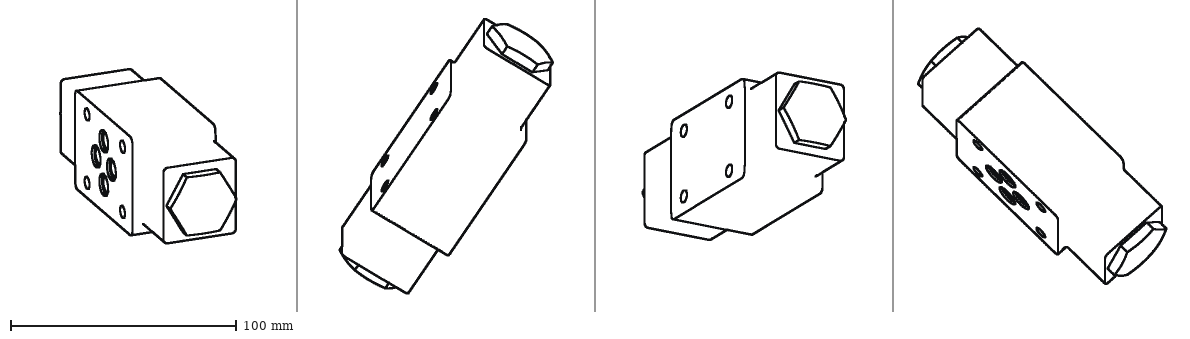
import cadquery as cq
import math

overall_length = 128.4
block_length = 65.2
block_depth = 40.0
block_height = 47.0
block_corner_radius = 2.6
block_front = -block_depth / 2
block_back = block_depth / 2
block_end = block_length / 2

housing_end = 58.7
housing_depth = 34.9
housing_height = 36.1
housing_edge_radius = 2.0
housing_back_step = 1.2
housing_centre_y = block_back - housing_back_step - housing_depth / 2
flare_radius = 2.5

plug_end = overall_length / 2
plug_length = plug_end - housing_end
hex_across_flats = 27.7
hex_across_corners = hex_across_flats * 2 / math.sqrt(3)
plug_face_radius = 11.5
cone_angle = 15.0

mounting_hole_diameter = 5.5
left_hole_x = -19.0
left_hole_z = 16.3
right_hole_x = 21.5
right_hole_z = 15.5
mounting_holes = [
    (left_hole_x, left_hole_z),
    (left_hole_x, -left_hole_z),
    (right_hole_x, right_hole_z),
    (right_hole_x, -right_hole_z),
]

port_diameter = 7.0
port_depth = 15.4
seat_diameter = 10.0
seat_depth = 1.3
port_offset_x = 8.7
port_offset_z = 10.4
ports = [(port_offset_x, 0), (-port_offset_x, 0), (0, port_offset_z), (0, -port_offset_z)]


def make_block():
    block = cq.Workplane("XY").box(block_length, block_depth, block_height)
    return block.edges("|Y").fillet(block_corner_radius)


def make_housing():
    """Housing on the +X end, with a concave flare where it meets the block."""
    wall_thickness = 1.3
    wall_margin = 2 * flare_radius
    wall = (
        cq.Workplane("YZ", origin=(block_end - wall_thickness, housing_centre_y, 0))
        .rect(housing_depth + 2 * wall_margin, housing_height + 2 * wall_margin)
        .extrude(wall_thickness)
    )
    bar = (
        cq.Workplane("YZ", origin=(block_end, housing_centre_y, 0))
        .rect(housing_depth, housing_height)
        .extrude(housing_end - block_end)
    )

    reach = flare_radius / 2
    root_edges = cq.selectors.BoxSelector(
        (block_end - reach / 2, housing_centre_y - housing_depth / 2 - reach, -housing_height / 2 - reach),
        (block_end + reach / 2, housing_centre_y + housing_depth / 2 + reach, housing_height / 2 + reach),
    )
    housing = wall.union(bar).edges(root_edges).fillet(flare_radius)
    long_edges = cq.selectors.BoxSelector(
        (block_end + flare_radius, -block_depth, -block_height),
        (housing_end - reach, block_depth, block_height),
    )
    housing = housing.edges(long_edges).fillet(housing_edge_radius)

    envelope = (
        cq.Workplane("YZ", origin=(block_end, 0, 0))
        .rect(block_depth, block_height)
        .extrude(housing_end - block_end)
    )
    return housing.intersect(envelope)


def make_plug():
    """Hexagonal plug on the +X end, with its outer corners turned to a shallow cone."""
    plug = (
        cq.Workplane("YZ", origin=(housing_end, housing_centre_y, 0))
        .polygon(6, hex_across_corners)
        .extrude(plug_length)
    )
    cone_base_radius = plug_face_radius + plug_length / math.tan(math.radians(cone_angle))
    cone = (
        cq.Workplane("XZ", origin=(0, housing_centre_y, 0))
        .moveTo(housing_end, 0)
        .lineTo(housing_end, cone_base_radius)
        .lineTo(plug_end, plug_face_radius)
        .lineTo(plug_end, 0)
        .close()
        .revolve(360, (0, 0, 0), (1, 0, 0))
    )
    return plug.intersect(cone)


def front_holes(points, diameter, depth):
    """Cylinders that run from the front face into the block."""
    return (
        cq.Workplane("XZ", origin=(0, block_front, 0))
        .pushPoints(points)
        .circle(diameter / 2)
        .extrude(-depth)
    )


result = make_block()
for end_part in (make_housing(), make_plug()):
    result = result.union(end_part)
    result = result.union(end_part.mirror("YZ"))

result = result.cut(front_holes(mounting_holes, mounting_hole_diameter, block_depth))
result = result.cut(front_holes(ports, seat_diameter, seat_depth))
result = result.cut(front_holes(ports, port_diameter, port_depth))